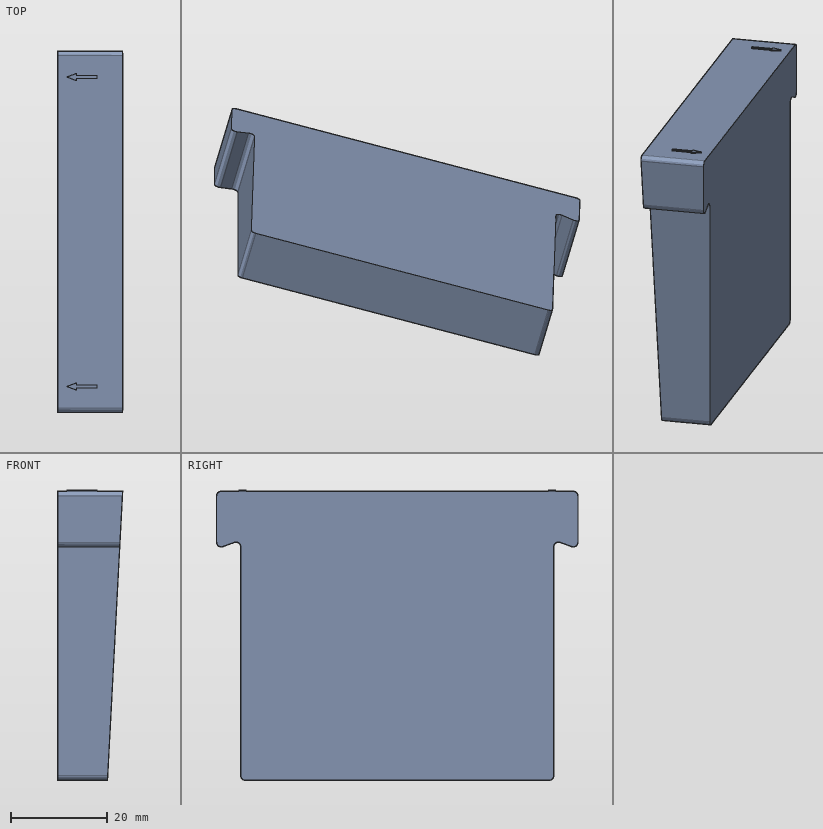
import cadquery as cq
import math

head_width = 75.0
plate_height = 60.0
top_thickness = 13.5
bottom_thickness = 10.35

shoulder = 5.0
head_side_height = 12.0
undercut_angle = 20.0
corner_radius = 1.0

arrow_relief = 0.2
arrow_tip_x = 1.9
arrow_head_length = 2.0
arrow_head_width = 1.5
arrow_length = 6.3
arrow_shaft_width = 0.6
arrow_end_distance = 5.4

head_half = head_width / 2
stem_half = head_half - shoulder
stem_top_z = shoulder * math.tan(math.radians(undercut_angle)) - head_side_height


def t_plate():
    """T outline with undercut shoulders, every corner rounded."""
    half_outline = [
        (head_half, 0),
        (head_half, -head_side_height),
        (stem_half, stem_top_z),
        (stem_half, -plate_height),
    ]
    mirrored_half = [(-y, z) for y, z in reversed(half_outline)]
    plate = cq.Workplane("YZ").polyline(half_outline + mirrored_half).close().extrude(top_thickness)
    return plate.edges("|X").fillet(corner_radius)


def wedge():
    """Thickness profile: straight on one face, tapering downwards on the other."""
    profile = [
        (0, 0),
        (top_thickness, 0),
        (bottom_thickness, -plate_height),
        (0, -plate_height),
    ]
    return cq.Workplane("XZ").polyline(profile).close().extrude(head_half, both=True)


def arrow(center_y):
    """Raised arrow pointing towards -X."""
    neck_x = arrow_tip_x + arrow_head_length
    tail_x = arrow_tip_x + arrow_length
    head_y = arrow_head_width / 2
    shaft_y = arrow_shaft_width / 2
    outline = [
        (arrow_tip_x, 0),
        (neck_x, head_y),
        (neck_x, shaft_y),
        (tail_x, shaft_y),
        (tail_x, -shaft_y),
        (neck_x, -shaft_y),
        (neck_x, -head_y),
    ]
    return cq.Workplane("XY").center(0, center_y).polyline(outline).close().extrude(arrow_relief)


result = t_plate().intersect(wedge())
for end in (-1, 1):
    result = result.union(arrow(end * (head_half - arrow_end_distance)))